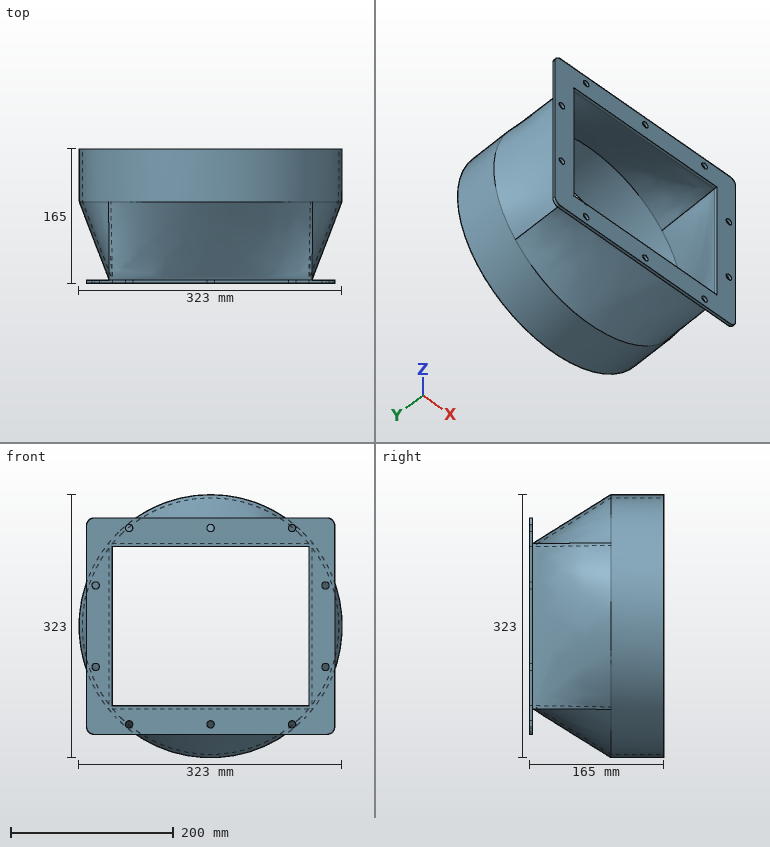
import cadquery as cq
import math


total_length = 165.0
wall = 4.0

collar_radius = 323.0 / 2
collar_length = 65.0

flange_width = 305.0
flange_height = 266.0
flange_thickness = 4.0
flange_corner_radius = 10.0
window_width = 241.0
window_height = 195.0

hole_diameter = 9.0
hole_pitch = 100.0
hole_row_z = 120.5
hole_column_x = 141.0

collar_start = total_length - collar_length


def plane_at(y):
    """Plane across the duct at the given Y: local x is +Z, local y is +X, normal is +Y."""
    return cq.Plane(origin=(0, y, 0), xDir=(0, 0, 1), normal=(0, 1, 0))


def rectangle_wire(width, height, y):
    """Centred rectangle across the duct, starting at its +X +Z corner."""
    x = width / 2
    z = height / 2
    corners = [(x, y, z), (-x, y, z), (-x, y, -z), (x, y, -z)]
    return cq.Wire.makePolygon([cq.Vector(*corner) for corner in corners], close=True)


def split_circle_wire(radius, width, height, y):
    """Circle across the duct, split into four arcs on the diagonals of a rectangle."""

    def point(angle):
        return cq.Vector(radius * math.cos(angle), y, radius * math.sin(angle))

    diagonal = math.atan2(height, width)
    splits = [diagonal, math.pi - diagonal, math.pi + diagonal, 2 * math.pi - diagonal]
    ends = splits[1:] + [2 * math.pi + diagonal]
    arcs = []
    for start, end in zip(splits, ends):
        arcs.append(cq.Edge.makeThreePointArc(point(start), point((start + end) / 2), point(end)))
    return cq.Wire.assembleEdges(arcs)


def transition(width, height, radius):
    """Solid with straight rulings from a rectangle behind the flange to the collar circle."""
    rectangle = rectangle_wire(width, height, flange_thickness)
    circle = split_circle_wire(radius, width, height, collar_start)
    return cq.Workplane(cq.Solid.makeLoft([rectangle, circle], True))


def collar(radius):
    """Solid cylinder filling the round end of the duct."""
    return cq.Workplane(plane_at(collar_start)).circle(radius).extrude(collar_length)


def duct(offset):
    """Solid duct body whose section stands the given distance outside the bore."""
    width = window_width + 2 * offset
    height = window_height + 2 * offset
    radius = collar_radius - wall + offset
    return transition(width, height, radius).union(collar(radius))


def flange():
    """Rounded flange plate with its window and bolt holes."""
    plate = cq.Workplane(plane_at(0)).rect(flange_height, flange_width).extrude(flange_thickness)
    plate = plate.edges("|Y").fillet(flange_corner_radius)
    window = cq.Workplane(plane_at(0)).rect(window_height, window_width).extrude(flange_thickness)

    hole_points = []
    for side in (-1, 1):
        for step in (-1, 0, 1):
            hole_points.append((side * hole_row_z, step * hole_pitch))
        for step in (-0.5, 0.5):
            hole_points.append((step * hole_pitch, side * hole_column_x))
    holes = (
        cq.Workplane(plane_at(0))
        .pushPoints(hole_points)
        .circle(hole_diameter / 2)
        .extrude(flange_thickness)
    )
    return plate.cut(window).cut(holes)


result = duct(wall).cut(duct(0)).union(flange())